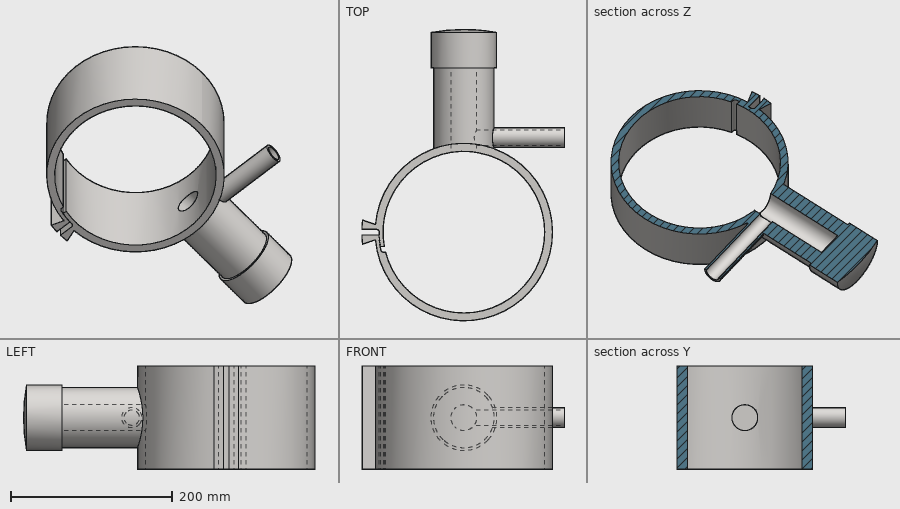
import cadquery as cq
import math

RING_OUTER_R = 110.0
RING_INNER_R = 100.0
RING_HEIGHT = 128.0
BOTTOM_PLANE = cq.Plane(origin=(0, 0, -RING_HEIGHT / 2))

EAR_OUTER_R = 126.5
EAR_ROOT_Y = 9.6
EAR_TIP_Y = 15.1
SPLIT_WIDTH = 6.7
SPLIT_CORNER_R = SPLIT_WIDTH / 2

LAP_R = (RING_OUTER_R + RING_INNER_R) / 2
LAP_CLEARANCE = 0.1
TONGUE_END_Y = -18.0
RECESS_END_Y = TONGUE_END_Y - SPLIT_WIDTH

TOWER_R = 37.5
CAP_R = 40.75
CAP_START_Y = 203.5
CAP_RIM_Y = 247.5
DOME_TOP_Y = 251.28
TOWER_BORE_R = 16.0

BRANCH_R = 12.5
BRANCH_Y = 117.1
BRANCH_END_X = 125.0
BRANCH_BORE_R = 9.5


def x_on_circle(radius, y):
    """X of the point on the -X half of a circle about the Z axis."""
    return -math.sqrt(radius**2 - y**2)


def disc(radius):
    """Cylinder about Z with the full height of the ring."""
    return cq.Workplane(BOTTOM_PLANE).circle(radius).extrude(RING_HEIGHT)


def block(x_min, x_max, y_min, y_max):
    """Rectangular block with the full height of the ring."""
    size_x = x_max - x_min
    size_y = y_max - y_min
    centre = ((x_min + x_max) / 2, (y_min + y_max) / 2, 0)
    return cq.Workplane("XY").box(size_x, size_y, RING_HEIGHT).translate(centre)


def pipe_y(radius, y_start, y_end):
    """Cylinder along +Y through the Z axis."""
    plane = cq.Plane(origin=(0, y_start, 0), xDir=(1, 0, 0), normal=(0, 1, 0))
    return cq.Workplane(plane).circle(radius).extrude(y_end - y_start)


def pipe_x(radius, x_end):
    """Cylinder along +X at the branch position, starting on the tower axis."""
    return cq.Workplane("YZ").center(BRANCH_Y, 0).circle(radius).extrude(x_end)


def make_ears():
    """Flared ear block that the split later divides into two ears."""
    root_x = x_on_circle(RING_OUTER_R, EAR_ROOT_Y)
    tip_x = x_on_circle(EAR_OUTER_R, EAR_TIP_Y)
    inside_x = -LAP_R
    return (
        cq.Workplane(BOTTOM_PLANE)
        .moveTo(inside_x, EAR_ROOT_Y)
        .lineTo(root_x, EAR_ROOT_Y)
        .lineTo(tip_x, EAR_TIP_Y)
        .threePointArc((-EAR_OUTER_R, 0), (tip_x, -EAR_TIP_Y))
        .lineTo(root_x, -EAR_ROOT_Y)
        .lineTo(inside_x, -EAR_ROOT_Y)
        .close()
        .extrude(RING_HEIGHT)
    )


def round_corner(cutter, radius, y):
    """Round the upright edge of a cutter where its side at y meets the given radius."""
    corner = (x_on_circle(radius, y), y, 0)
    return cutter.edges("|Z").edges(cq.selectors.NearestToPointSelector(corner)).fillet(SPLIT_CORNER_R)


def make_split():
    """Space removed from the ring: ear slot, tongue recess and the lap clearance."""
    half_width = SPLIT_WIDTH / 2
    slot = block(-EAR_OUTER_R, -RING_INNER_R, -half_width, half_width).cut(disc(LAP_R))
    slot = round_corner(slot, LAP_R, half_width)

    lip_r = LAP_R + LAP_CLEARANCE
    recess = block(-RING_OUTER_R, 0, RECESS_END_Y, TONGUE_END_Y).intersect(disc(lip_r))
    recess = round_corner(recess, lip_r, RECESS_END_Y)

    clearance = disc(lip_r).cut(disc(LAP_R))
    clearance = clearance.intersect(block(-RING_OUTER_R, 0, TONGUE_END_Y, 0))
    return slot, recess, clearance


def make_clamp():
    clamp = disc(RING_OUTER_R).union(make_ears()).cut(disc(RING_INNER_R))
    for space in make_split():
        clamp = clamp.cut(space)
    return clamp


def make_cap():
    """Cap with a shallow spherical dome, revolved about the Y axis."""
    dome_height = DOME_TOP_Y - CAP_RIM_Y
    sphere_r = (CAP_R**2 + dome_height**2) / (2 * dome_height)
    return (
        cq.Workplane("XY")
        .moveTo(0, CAP_START_Y)
        .lineTo(CAP_R, CAP_START_Y)
        .lineTo(CAP_R, CAP_RIM_Y)
        .radiusArc((0, DOME_TOP_Y), -sphere_r)
        .close()
        .revolve(axisStart=(0, 0, 0), axisEnd=(0, 1, 0))
    )


def make_fittings():
    """Tower with cap and branch pipe, starting within the thickness of the ring wall."""
    tower = pipe_y(TOWER_R, 0, CAP_START_Y)
    branch = pipe_x(BRANCH_R, BRANCH_END_X)
    return tower.union(make_cap()).union(branch).cut(disc(LAP_R))


def make_bores():
    """Tower bore from the ring up to the cap, crossed by the branch bore."""
    return pipe_y(TOWER_BORE_R, 0, CAP_START_Y).union(pipe_x(BRANCH_BORE_R, BRANCH_END_X))


result = make_clamp().union(make_fittings()).cut(make_bores())